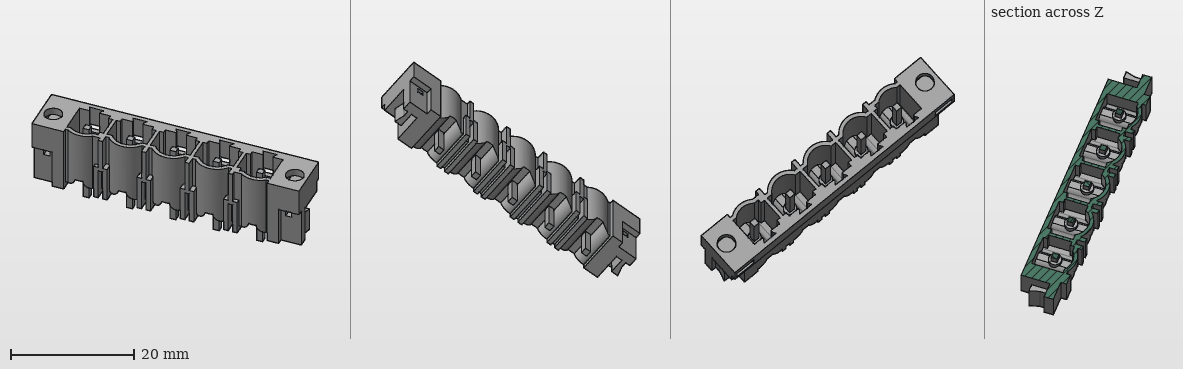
import cadquery as cq
import math


PIN_COUNT = 5
PITCH = 7.62
LENGTH = 46.96
HEIGHT = 11.8
FRONT_Y = -3.7
BACK_Y = 4.7
WALL = 0.7
PIN_X = [(i - (PIN_COUNT - 1) / 2) * PITCH for i in range(PIN_COUNT)]
DIVIDER_X = [x + PITCH / 2 for x in PIN_X[:-1]]
END_X = LENGTH / 2

PIN_SIZE = 1.06
PIN_TAIL = 3.15
PIN_TOP = 10.85

SHELL_RADIUS = -FRONT_Y
CHAMBER_RADIUS = SHELL_RADIUS - WALL
REAR_FACE_Y = 3.92
LIP_HEIGHT = 3.45
CHAMBER_BACK_Y = 3.04
MIDDLE_FRONT_Y = -2.3
END_FRONT_Y = MIDDLE_FRONT_Y - WALL
CHAMBER_HALF = 2.78
DIVIDER_WIDTH = 0.62
POCKET_HALF = (PITCH - DIVIDER_WIDTH) / 2
POCKET_FRONT_Y = MIDDLE_FRONT_Y + WALL
POCKET_BACK_Y = 2.33
END_WALL_HALF = 2.63

UNDERSIDE_Z = 1.0
FLOOR_Z = 1.6
TROUGH_X = 2.5
UNDERSIDE_RADIUS = 1.9
TROUGH_RADIUS = UNDERSIDE_RADIUS - (FLOOR_Z - UNDERSIDE_Z)
RIDGE_RADIUS = 1.55
RIDGE_TOP_HALF = 0.67
UNDERSIDE_TOP_HALF = 0.65
TROUGH_AXIS_Z = UNDERSIDE_Z + UNDERSIDE_RADIUS
COLLAR_RADIUS = 1.1
COLLAR_TOP = 3.4

RIB_WIDTH = 0.77
LEG_WIDTH = 2.4
LEG_TOP = 6.25
GROOVE_TOP = 5.52

SLOT_OUTER_HALF = 1.25
SLOT_NECK_HALF = 0.9
SLOT_NECK_DEPTH = 0.3
SLOT_FLOOR_Z = 7.6

BLOCK_WIDTH = END_X - PIN_X[-1] - END_WALL_HALF
SCREW_INSET = 2.25
SCREW_RADIUS = 1.52
NUT_HALF = 1.8
NUT_TOP = 10.5
NUT_BOTTOM = 8.97
NOTCH_WIDTH = 3.58
NOTCH_DEPTH = 1.0
NOTCH_TOP = 6.97
REAR_CUT_WIDTH = 2.75
REAR_CUT_FRONT_Y = -1.05
REAR_CUT_TOP = 6.4
WINDOW_SIZE = 1.06
WINDOW_TOP = 6.3
POST_TOP = 4.25
POST_OUTER = 0.36
POST_THICKNESS = 1.28
POST_BACK_Y = 1.65
POST_BEND_Y = -0.05
POST_TAPER = 0.48


def block(x0, x1, y0, y1, z0, z1):
    """Box between two opposite corners, given in any order along X."""
    return cq.Workplane("XY").box(abs(x1 - x0), y1 - y0, z1 - z0, centered=False).translate(
        (min(x0, x1), y0, z0)
    )


def upright_cylinder(x, radius, z0, z1):
    """Vertical cylinder on the pin row."""
    return cq.Workplane("XY", origin=(x, 0, z0)).circle(radius).extrude(z1 - z0)


def along_y(y0, y1):
    """XZ sketch plane at y1, extruding toward y0 by y1 - y0."""
    return cq.Workplane("XZ", origin=(0, y1, 0)), y1 - y0


def underside_tunnel():
    """Space below the wavy floor at one pin."""
    plane, depth = along_y(FRONT_Y, REAR_FACE_Y)
    run = TROUGH_X - UNDERSIDE_TOP_HALF
    top_z = TROUGH_AXIS_Z - math.sqrt(UNDERSIDE_RADIUS**2 - run**2)
    half_angle = math.asin(run / UNDERSIDE_RADIUS) / 2
    mid_x = TROUGH_X - UNDERSIDE_RADIUS * math.sin(half_angle)
    mid_z = TROUGH_AXIS_Z - UNDERSIDE_RADIUS * math.cos(half_angle)
    return (
        plane.moveTo(-TROUGH_X, 0)
        .lineTo(-TROUGH_X, UNDERSIDE_Z)
        .threePointArc((-mid_x, mid_z), (-UNDERSIDE_TOP_HALF, top_z))
        .lineTo(UNDERSIDE_TOP_HALF, top_z)
        .threePointArc((mid_x, mid_z), (TROUGH_X, UNDERSIDE_Z))
        .lineTo(TROUGH_X, 0)
        .close()
        .extrude(depth)
    )


def floor_ridge():
    """Floor material above the trough bottoms: concave flanks blending into a flat-topped ridge."""
    plane, depth = along_y(FRONT_Y, CHAMBER_BACK_Y)
    centre_distance = TROUGH_RADIUS + RIDGE_RADIUS
    blend = math.asin(TROUGH_X / centre_distance)
    ridge_axis_z = TROUGH_AXIS_Z - centre_distance * math.cos(blend)
    crest = math.asin(RIDGE_TOP_HALF / RIDGE_RADIUS)

    def on_ridge(angle):
        return RIDGE_RADIUS * math.sin(angle), ridge_axis_z + RIDGE_RADIUS * math.cos(angle)

    def on_trough(angle):
        return TROUGH_X - TROUGH_RADIUS * math.sin(angle), TROUGH_AXIS_Z - TROUGH_RADIUS * math.cos(angle)

    def mirrored(point):
        return -point[0], point[1]

    return (
        plane.moveTo(*mirrored(on_trough(0)))
        .threePointArc(mirrored(on_trough(blend / 2)), mirrored(on_ridge(blend)))
        .threePointArc(mirrored(on_ridge((blend + crest) / 2)), mirrored(on_ridge(crest)))
        .lineTo(*on_ridge(crest))
        .threePointArc(on_ridge((blend + crest) / 2), on_ridge(blend))
        .threePointArc(on_trough(blend / 2), on_trough(0))
        .close()
        .extrude(depth)
    )


def chamber(x, is_first, is_last):
    """Open space of one chamber, above its wavy floor."""
    left = END_WALL_HALF if is_first else CHAMBER_HALF
    right = END_WALL_HALF if is_last else CHAMBER_HALF
    pocket_left = END_WALL_HALF if is_first else POCKET_HALF
    pocket_right = END_WALL_HALF if is_last else POCKET_HALF
    front = MIDDLE_FRONT_Y if is_first or is_last else POCKET_FRONT_Y
    bulge = upright_cylinder(0, CHAMBER_RADIUS, FLOOR_Z, HEIGHT).intersect(
        block(-pocket_left, pocket_right, FRONT_Y, 0, FLOOR_Z, HEIGHT)
    )
    space = (
        block(-left, right, front, CHAMBER_BACK_Y, FLOOR_Z, HEIGHT)
        .union(block(-pocket_left, pocket_right, POCKET_FRONT_Y, POCKET_BACK_Y, FLOOR_Z, HEIGHT))
        .union(bulge)
        .cut(floor_ridge())
    )
    return space.translate((x, 0, 0))


def dovetail_slot(x):
    """Slot through the back wall: a straight neck, then a flare that the lip closes down to a low opening."""
    neck_back_y = CHAMBER_BACK_Y + SLOT_NECK_DEPTH
    return (
        cq.Workplane("XY", origin=(x, 0, SLOT_FLOOR_Z))
        .polyline(
            [
                (-SLOT_NECK_HALF, CHAMBER_BACK_Y),
                (SLOT_NECK_HALF, CHAMBER_BACK_Y),
                (SLOT_NECK_HALF, neck_back_y),
                (SLOT_OUTER_HALF, REAR_FACE_Y),
                (-SLOT_OUTER_HALF, REAR_FACE_Y),
                (-SLOT_NECK_HALF, neck_back_y),
            ]
        )
        .close()
        .extrude(HEIGHT - SLOT_FLOOR_Z)
    )


def front_rib(x):
    """Rib in front of a divider, standing on a grooved foot whose two legs reach the mounting face."""
    rib_half = RIB_WIDTH / 2
    leg_half = LEG_WIDTH / 2
    foot = block(x - leg_half, x + leg_half, FRONT_Y, MIDDLE_FRONT_Y, 0, LEG_TOP)
    runners = block(x - leg_half, x + leg_half, MIDDLE_FRONT_Y, REAR_FACE_Y, 0, UNDERSIDE_Z)
    groove = block(x - rib_half, x + rib_half, FRONT_Y, MIDDLE_FRONT_Y, 0, GROOVE_TOP)
    gap = block(x - rib_half, x + rib_half, MIDDLE_FRONT_Y, REAR_FACE_Y, 0, UNDERSIDE_Z)
    rib = block(x - rib_half, x + rib_half, FRONT_Y, MIDDLE_FRONT_Y, LEG_TOP, HEIGHT)
    return foot.union(runners).cut(groove).cut(gap).union(rib)


def end_block(side):
    """Mounting block at one end of the row; side is -1 or +1."""

    def at(inset):
        return side * (END_X - inset)

    screw_x = at(SCREW_INSET)
    nut_left = screw_x - NUT_HALF
    nut_right = screw_x + NUT_HALF
    notch_y = FRONT_Y + NOTCH_DEPTH
    body = block(at(0), at(BLOCK_WIDTH), FRONT_Y, REAR_FACE_Y, 0, HEIGHT)
    body = body.union(block(at(0), at(BLOCK_WIDTH), REAR_FACE_Y, BACK_Y, HEIGHT - LIP_HEIGHT, HEIGHT))
    body = body.cut(upright_cylinder(screw_x, SCREW_RADIUS, NUT_TOP, HEIGHT))
    body = body.cut(block(nut_left, nut_right, -NUT_HALF, BACK_Y, NUT_BOTTOM, NUT_TOP))
    body = body.cut(block(at(0), at(NOTCH_WIDTH), FRONT_Y, notch_y, 0, NOTCH_TOP))
    body = body.cut(block(at(0), at(REAR_CUT_WIDTH), REAR_CUT_FRONT_Y, REAR_FACE_Y, 0, REAR_CUT_TOP))
    window_outer = at(REAR_CUT_WIDTH - WINDOW_SIZE)
    window_bottom = WINDOW_TOP - WINDOW_SIZE
    body = body.cut(
        block(window_outer, at(REAR_CUT_WIDTH), notch_y, REAR_CUT_FRONT_Y, window_bottom, WINDOW_TOP)
    )
    inner = POST_OUTER + POST_THICKNESS
    bend = POST_OUTER + POST_TAPER
    post = (
        cq.Workplane("XY")
        .polyline(
            [
                (at(POST_OUTER), POST_BACK_Y),
                (at(bend), POST_BEND_Y),
                (at(bend), REAR_CUT_FRONT_Y),
                (at(inner), REAR_CUT_FRONT_Y),
                (at(inner), POST_BACK_Y),
            ]
        )
        .close()
        .extrude(POST_TOP)
    )
    return body.union(post)


def make_pin(x):
    """Straight square pin, from below the mounting face up into its chamber."""
    half = PIN_SIZE / 2
    return block(x - half, x + half, -half, half, -PIN_TAIL, PIN_TOP)


def make_housing():
    """Housing with its chambers open at the top and a square hole for each pin."""
    row_end = END_X - BLOCK_WIDTH
    end_rib_edge = DIVIDER_X[-1] + RIB_WIDTH / 2
    body = block(-row_end, row_end, MIDDLE_FRONT_Y, REAR_FACE_Y, UNDERSIDE_Z, HEIGHT)
    body = body.union(block(-row_end, row_end, REAR_FACE_Y, BACK_Y, HEIGHT - LIP_HEIGHT, HEIGHT))
    for x in PIN_X:
        body = body.union(upright_cylinder(x, SHELL_RADIUS, UNDERSIDE_Z, HEIGHT))
    for side in (-1, 1):
        body = body.union(
            block(side * row_end, side * end_rib_edge, END_FRONT_Y, MIDDLE_FRONT_Y, UNDERSIDE_Z, HEIGHT)
        )
    for x in DIVIDER_X:
        body = body.union(front_rib(x))
    for side in (-1, 1):
        body = body.union(end_block(side))
    for x in PIN_X:
        body = body.cut(chamber(x, x == PIN_X[0], x == PIN_X[-1]))
        body = body.cut(dovetail_slot(x))
        body = body.union(upright_cylinder(x, COLLAR_RADIUS, FLOOR_Z, COLLAR_TOP))
        body = body.cut(underside_tunnel().translate((x, 0, 0)))
        body = body.cut(make_pin(x))
    return body


housing = make_housing()
pins = [make_pin(x) for x in PIN_X]

result = cq.Compound.makeCompound([housing.val(), *[pin.val() for pin in pins]])